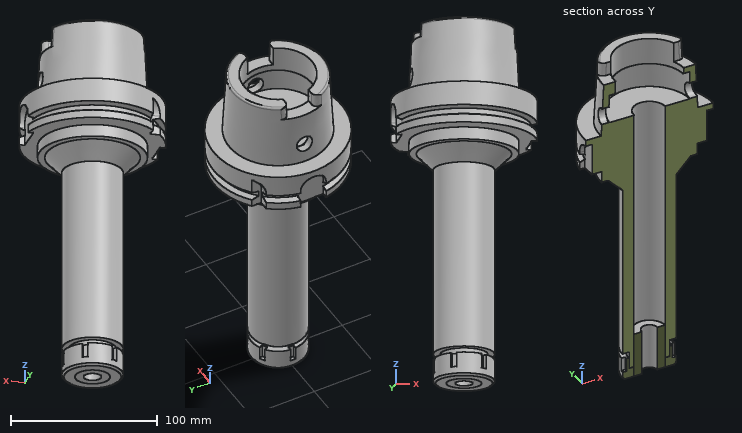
import cadquery as cq


SHANK_HEIGHT = 50.0
SHANK_BASE_RADIUS = 38.0
SHANK_TOP_RADIUS = 35.5
SHANK_RIM_FILLET = 1.5
MOUTH_RADIUS = 26.5
MOUTH_DEPTH = 20.0
CAVITY_RADIUS = 31.5
CAVITY_FLOOR_Z = 8.8
CROSS_HOLE_RADIUS = 6.0
CROSS_HOLE_Z = 15.0

RIM_SLOT_WIDTH = 20.0
SHALLOW_SLOT_DEPTH = 10.0
DEEP_SLOT_DEPTH = 15.0
RIM_SLOT_CORNER_RADIUS = 4.0

FLANGE_RADIUS = 50.0
FLANGE_HEIGHT = 29.0
GROOVE_CENTRE_Z = -20.0
GROOVE_MOUTH_WIDTH = 6.8
GROOVE_ROOT_WIDTH = 3.8
GROOVE_ROOT_RADIUS = 46.0

NARROW_NOTCH_WIDTH = 20.0
WIDE_NOTCH_WIDTH = 22.0
NOTCH_TOP_Z = -5.0
DRIVE_NOTCH_FLOOR = 45.0
ORIENTING_NOTCH_FLOOR = 32.0
ORIENTING_NOTCH_Y = 41.2

COLLAR_RADIUS = 37.5
COLLAR_BOTTOM_Z = -37.5
CONE_TOP_RADIUS = 32.5
SHAFT_RADIUS = 21.0
SHAFT_BOTTOM_Z = -179.5
CONE_BOTTOM_Z = COLLAR_BOTTOM_Z - (CONE_TOP_RADIUS - SHAFT_RADIUS)

BOTTOM_Z = -200.0
NOSE_RADIUS = 16.2
NOSE_BOTTOM_Z = -192.5
NUT_RADIUS = SHAFT_RADIUS
NUT_TOP_Z = -183.8
NUT_CHAMFER = 1.5
NUT_SLOT_COUNT = 6
NUT_SLOT_WIDTH = 4.0
NUT_SLOT_HEIGHT = 10.0
NUT_SLOT_FLOOR = 18.0
COLLET_RADIUS = 12.0
COLLET_LENGTH = 34.0
COLLET_HOLE_RADIUS = 6.0


def cylinder(radius, bottom_z, top_z):
    """Cylinder on the Z axis between two heights."""
    return cq.Workplane("XY").workplane(offset=bottom_z).circle(radius).extrude(top_z - bottom_z)


def holder_blank():
    """Solid of revolution for the whole outside of the holder."""
    groove_top = GROOVE_CENTRE_Z + GROOVE_MOUTH_WIDTH / 2
    groove_bottom = GROOVE_CENTRE_Z - GROOVE_MOUTH_WIDTH / 2
    root_top = GROOVE_CENTRE_Z + GROOVE_ROOT_WIDTH / 2
    root_bottom = GROOVE_CENTRE_Z - GROOVE_ROOT_WIDTH / 2
    half_profile = [
        (0, SHANK_HEIGHT),
        (SHANK_TOP_RADIUS, SHANK_HEIGHT),
        (SHANK_BASE_RADIUS, 0),
        (FLANGE_RADIUS, 0),
        (FLANGE_RADIUS, groove_top),
        (GROOVE_ROOT_RADIUS, root_top),
        (GROOVE_ROOT_RADIUS, root_bottom),
        (FLANGE_RADIUS, groove_bottom),
        (FLANGE_RADIUS, -FLANGE_HEIGHT),
        (COLLAR_RADIUS, -FLANGE_HEIGHT),
        (COLLAR_RADIUS, COLLAR_BOTTOM_Z),
        (CONE_TOP_RADIUS, COLLAR_BOTTOM_Z),
        (SHAFT_RADIUS, CONE_BOTTOM_Z),
        (SHAFT_RADIUS, SHAFT_BOTTOM_Z),
        (NOSE_RADIUS, SHAFT_BOTTOM_Z),
        (NOSE_RADIUS, NOSE_BOTTOM_Z),
        (0, NOSE_BOTTOM_Z),
    ]
    return cq.Workplane("XZ").polyline(half_profile).close().revolve(360, (0, 0), (0, 1))


def shank_cavity():
    """Open mouth, wider cavity below it and the straight bore down to the nose."""
    mouth_bottom_z = SHANK_HEIGHT - MOUTH_DEPTH
    mouth = cylinder(MOUTH_RADIUS, mouth_bottom_z, SHANK_HEIGHT)
    cavity = cylinder(CAVITY_RADIUS, CAVITY_FLOOR_Z, mouth_bottom_z)
    bore = cylinder(COLLET_RADIUS, NOSE_BOTTOM_Z, CAVITY_FLOOR_Z)
    return mouth.union(cavity).union(bore)


def rim_slot(side, depth):
    """Slot through the shank rim, cut towards -X (side = -1) or +X (side = +1)."""
    half_width = RIM_SLOT_WIDTH / 2
    return (
        cq.Workplane("XY")
        .workplane(offset=SHANK_HEIGHT - depth)
        .moveTo(0, -half_width)
        .lineTo(side * FLANGE_RADIUS, -half_width)
        .lineTo(side * FLANGE_RADIUS, half_width)
        .lineTo(0, half_width)
        .close()
        .extrude(depth)
    )


def slotted_blank():
    """Blank with both rim slots cut, their outer corners rounded, and the rim rounded."""
    blank = holder_blank()
    slotted = blank.cut(rim_slot(-1, SHALLOW_SLOT_DEPTH)).cut(rim_slot(1, DEEP_SLOT_DEPTH))
    slotted = slotted.edges("%HYPERBOLA").fillet(RIM_SLOT_CORNER_RADIUS)
    round_rimmed = blank.faces(">Z").edges().fillet(SHANK_RIM_FILLET)
    return slotted.intersect(round_rimmed)


def flange_notch(side, width, floor_distance, centre_y):
    """Round-topped notch cut along X into the flange edge, open at the flange's lower face.

    `side` is -1 for a notch on the -X side and +1 for one on the +X side.
    """
    radius = width / 2
    arch_z = NOTCH_TOP_Z - radius
    return (
        cq.Workplane("YZ")
        .workplane(offset=side * floor_distance)
        .moveTo(centre_y - radius, -FLANGE_HEIGHT)
        .lineTo(centre_y - radius, arch_z)
        .threePointArc((centre_y, NOTCH_TOP_Z), (centre_y + radius, arch_z))
        .lineTo(centre_y + radius, -FLANGE_HEIGHT)
        .close()
        .extrude(side * FLANGE_RADIUS)
    )


def cross_hole():
    """Hole along X through both walls of the shank."""
    return (
        cq.Workplane("YZ")
        .center(0, CROSS_HOLE_Z)
        .circle(CROSS_HOLE_RADIUS)
        .extrude(FLANGE_RADIUS, both=True)
    )


def make_holder():
    return (
        slotted_blank()
        .cut(shank_cavity())
        .cut(cross_hole())
        .cut(flange_notch(-1, NARROW_NOTCH_WIDTH, DRIVE_NOTCH_FLOOR, 0))
        .cut(flange_notch(1, WIDE_NOTCH_WIDTH, DRIVE_NOTCH_FLOOR, 0))
        .cut(flange_notch(-1, NARROW_NOTCH_WIDTH, ORIENTING_NOTCH_FLOOR, ORIENTING_NOTCH_Y))
    )


def make_nut():
    """Ring screwed over the nose, with wrench slots around its upper edge."""
    nut = cylinder(NUT_RADIUS, BOTTOM_Z, NUT_TOP_Z).faces("<Z").edges().chamfer(NUT_CHAMFER)
    nut = nut.cut(cylinder(NOSE_RADIUS, NOSE_BOTTOM_Z, NUT_TOP_Z))
    nut = nut.cut(cylinder(COLLET_RADIUS, BOTTOM_Z, NOSE_BOTTOM_Z))
    slot = cq.Workplane("XY").box(
        NUT_RADIUS, NUT_SLOT_WIDTH, NUT_SLOT_HEIGHT, centered=(False, True, False)
    ).translate((NUT_SLOT_FLOOR, 0, NUT_TOP_Z - NUT_SLOT_HEIGHT))
    for index in range(NUT_SLOT_COUNT):
        nut = nut.cut(slot.rotate((0, 0, 0), (0, 0, 1), index * 360 / NUT_SLOT_COUNT))
    return nut


def make_collet():
    """Sleeve in the bore of the nose, flush with the bottom of the nut."""
    collet_top_z = BOTTOM_Z + COLLET_LENGTH
    sleeve = cylinder(COLLET_RADIUS, BOTTOM_Z, collet_top_z)
    return sleeve.cut(cylinder(COLLET_HOLE_RADIUS, BOTTOM_Z, collet_top_z))


holder = make_holder()
nut = make_nut()
collet = make_collet()

result = cq.Compound.makeCompound([holder.solids().val(), nut.solids().val(), collet.solids().val()])